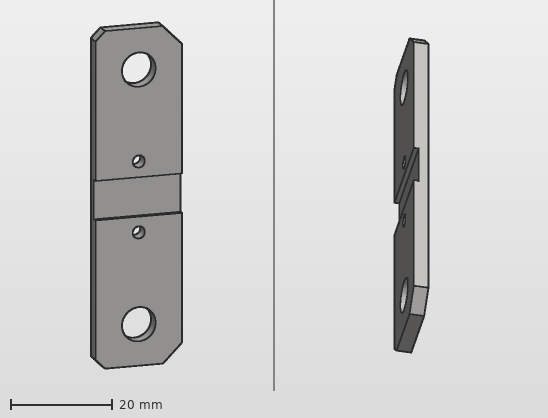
import cadquery as cq

thickness = 3.0
width = 18.0
length = 69.0

large_chamfer = 4.0
small_chamfer = 2.0

mount_diameter = 7.0
mount_spacing = 52.0
pin_diameter = 2.5
pin_spacing = 14.5

relief_height = 8.1
relief_depth = 1.0


def corner_chamfered_plate():
    plate = cq.Workplane("XY").box(thickness, width, length)
    plate = plate.edges("|X and >Y").chamfer(large_chamfer)
    return plate.edges("|X and <Y").chamfer(small_chamfer)


def hole_pair(diameter, spacing):
    centers = [(0, -spacing / 2), (0, spacing / 2)]
    return (
        cq.Workplane("YZ")
        .pushPoints(centers)
        .circle(diameter / 2)
        .extrude(thickness, both=True)
    )


def relief_cutter():
    return (
        cq.Workplane("XY")
        .box(2 * relief_depth, width, relief_height)
        .translate((thickness / 2, 0, 0))
    )


result = (
    corner_chamfered_plate()
    .cut(hole_pair(mount_diameter, mount_spacing))
    .cut(hole_pair(pin_diameter, pin_spacing))
    .cut(relief_cutter())
)